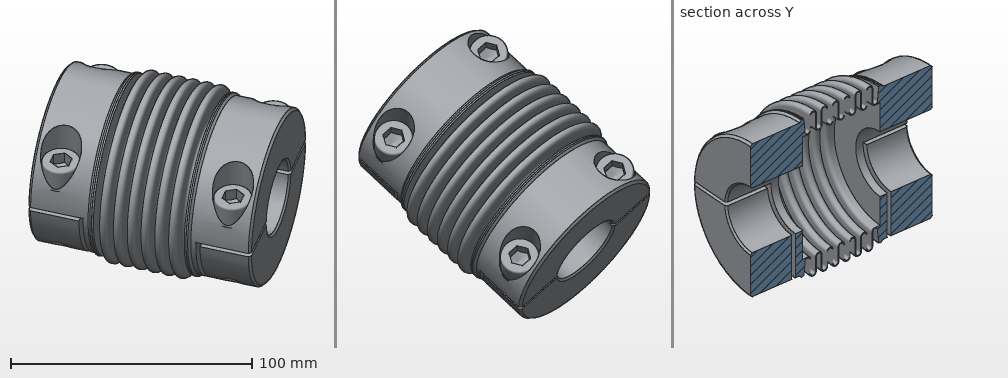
import cadquery as cq
import math


overall_length = 96.85
hub_diameter = 76.0
hub_length = 27.9
hub_chamfer = 1.1
bore_diameter = 32.0
bore_chamfer = 0.9

hub_rim_diameter = 78.0
hub_rim_width = 0.8
hub_rim_flare = 1.1
bellows_rim_diameter = 77.6
bellows_rim_width = 0.8

crest_count = 6
crest_pitch = 6.0
crest_diameter = 82.0
neck_diameter = 61.8
wall_thickness = 0.7
crest_round = 1.8
end_wall_diameter = 65.9

slot_width = 1.8
jaw_length = 22.1

screw_inset = 11.0
screw_offset = 27.5
screw_diameter = 10.0
screw_length = 30.0
head_diameter = 16.0
head_height = 10.0
head_round = 1.0
socket_width = 8.0
socket_depth = 5.0
socket_cone_angle = 120.0
counterbore_diameter = 17.0
clearance_diameter = 10.4
tapped_diameter = 8.5
seat_height = 11.0

half_length = overall_length / 2
hub_radius = hub_diameter / 2
hub_face = half_length - hub_length
crest_radius = crest_diameter / 2
neck_radius = neck_diameter / 2
neck_round = crest_pitch / 2 - crest_round
first_neck = -crest_count * crest_pitch / 2
end_wall = first_neck - neck_round
cos_45 = math.cos(math.pi / 4)


def upright_cylinder(diameter, bottom, height):
    return cq.Workplane("XY", origin=(0, 0, bottom)).circle(diameter / 2).extrude(height)


def add_convolutions(sketch, tip_radius, root_radius, tip_round, root_round):
    """Extend an outline along +X from the bottom of the first neck to the bottom of the last."""
    root_center = root_radius + root_round
    tip_center = tip_radius - tip_round
    for index in range(crest_count):
        neck = first_neck + index * crest_pitch
        crest = neck + crest_pitch / 2
        next_neck = neck + crest_pitch
        sketch = (
            sketch
            .threePointArc(
                (neck + root_round * cos_45, root_center - root_round * cos_45),
                (neck + root_round, root_center),
            )
            .lineTo(crest - tip_round, tip_center)
            .threePointArc((crest, tip_radius), (crest + tip_round, tip_center))
            .lineTo(next_neck - root_round, root_center)
            .threePointArc(
                (next_neck - root_round * cos_45, root_center - root_round * cos_45),
                (next_neck, root_radius),
            )
        )
    return sketch


def make_bellows():
    rim_radius = bellows_rim_diameter / 2
    rim_edge = hub_face - bellows_rim_width
    end_wall_radius = end_wall_diameter / 2
    round_center = neck_radius + neck_round
    diagonal = neck_round * cos_45

    outer = (
        cq.Workplane("XY")
        .moveTo(-hub_face, 0)
        .lineTo(-hub_face, rim_radius)
        .lineTo(-rim_edge, rim_radius)
        .lineTo(end_wall, end_wall_radius)
        .lineTo(end_wall, round_center)
        .threePointArc((first_neck - diagonal, round_center - diagonal), (first_neck, neck_radius))
    )
    outer = add_convolutions(outer, crest_radius, neck_radius, crest_round, neck_round)
    outer = (
        outer
        .threePointArc((-first_neck + diagonal, round_center - diagonal), (-end_wall, round_center))
        .lineTo(-end_wall, end_wall_radius)
        .lineTo(rim_edge, rim_radius)
        .lineTo(hub_face, rim_radius)
        .lineTo(hub_face, 0)
        .close()
    )

    cavity_root = neck_radius - wall_thickness
    cavity = (
        cq.Workplane("XY")
        .moveTo(-hub_face, 0)
        .lineTo(-hub_face, cavity_root)
        .lineTo(first_neck, cavity_root)
    )
    cavity = add_convolutions(
        cavity,
        crest_radius - wall_thickness,
        cavity_root,
        crest_round - wall_thickness,
        neck_round + wall_thickness,
    )
    cavity = cavity.lineTo(hub_face, cavity_root).lineTo(hub_face, 0).close()

    axis = ((0, 0, 0), (1, 0, 0))
    return outer.revolve(360, *axis).cut(cavity.revolve(360, *axis))


def make_hub_body():
    """Turned body of the hub on the -X side."""
    bore_radius = bore_diameter / 2
    rim_radius = hub_rim_diameter / 2
    rim_start = -hub_face - hub_rim_width
    return (
        cq.Workplane("XY")
        .moveTo(-half_length, bore_radius + bore_chamfer)
        .lineTo(-half_length, hub_radius - hub_chamfer)
        .lineTo(-half_length + hub_chamfer, hub_radius)
        .lineTo(rim_start - hub_rim_flare, hub_radius)
        .lineTo(rim_start, rim_radius)
        .lineTo(-hub_face, rim_radius)
        .lineTo(-hub_face, bore_radius)
        .lineTo(-half_length + bore_chamfer, bore_radius)
        .close()
        .revolve(360, (0, 0, 0), (1, 0, 0))
    )


def make_clamp_slot():
    """L-shaped cut that separates the lower jaw from the rest of the hub."""
    jaw_end = -half_length + jaw_length
    slot_end = jaw_end + slot_width
    half_slot = slot_width / 2
    below_hub = -crest_radius
    return (
        cq.Workplane("XZ")
        .moveTo(-half_length, half_slot)
        .lineTo(slot_end, half_slot)
        .lineTo(slot_end, below_hub)
        .lineTo(jaw_end, below_hub)
        .lineTo(jaw_end, -half_slot)
        .lineTo(-half_length, -half_slot)
        .close()
        .extrude(crest_radius, both=True)
    )


def make_screw_hole():
    """Counterbore, clearance hole and tapped hole about the Z axis."""
    counterbore = upright_cylinder(counterbore_diameter, seat_height, crest_radius)
    clearance = upright_cylinder(clearance_diameter, 0, seat_height)
    tapped = upright_cylinder(tapped_diameter, -crest_radius, crest_radius)
    return counterbore.union(clearance).union(tapped)


def make_screw():
    """Socket head screw about the Z axis, with a hexagon socket that ends in a cone."""
    head_top = seat_height + head_height
    head = upright_cylinder(head_diameter, seat_height, head_height).faces(">Z").edges().fillet(head_round)
    shank = upright_cylinder(screw_diameter, seat_height - screw_length, screw_length)

    corner_radius = socket_width / 2 / math.cos(math.pi / 6)
    cone_depth = corner_radius / math.tan(math.radians(socket_cone_angle / 2))
    hexagon = (
        cq.Workplane("XY", origin=(0, 0, head_top))
        .transformed(rotate=(0, 0, 90))
        .polygon(6, 2 * corner_radius)
        .extrude(-socket_depth - cone_depth)
    )
    drill = (
        cq.Workplane("XZ")
        .moveTo(0, head_top)
        .lineTo(corner_radius, head_top)
        .lineTo(corner_radius, head_top - socket_depth)
        .lineTo(0, head_top - socket_depth - cone_depth)
        .close()
        .revolve(360, (0, 0, 0), (0, 1, 0))
    )
    return head.union(shank).cut(hexagon.intersect(drill))


def make_hub():
    """Complete hub on the -X side with one screw on each side of the bore."""
    screw_x = -half_length + screw_inset
    hub = make_hub_body().cut(make_clamp_slot())
    for screw_y in (-screw_offset, screw_offset):
        place = (screw_x, screw_y, 0)
        hub = hub.cut(make_screw_hole().translate(place)).union(make_screw().translate(place))
    return hub


left_hub = make_hub()
right_hub = left_hub.mirror("YZ")
result = make_bellows().union(left_hub).union(right_hub)